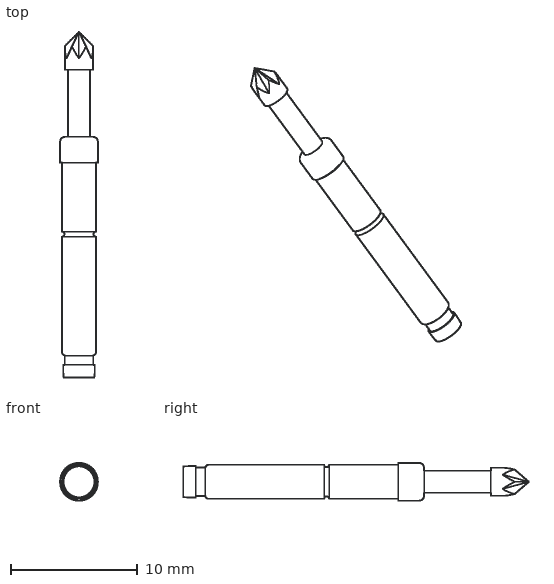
import cadquery as cq
import math

length = 27.3
tip_y = length / 2
tail_y = -length / 2

head_diameter = 2.25
stem_diameter = 1.75
collar_diameter = 3.0
body_diameter = 2.7
neck_diameter = 2.27
ring_diameter = 2.5
tail_face_diameter = 2.43

ridge_count = 6
ridge_cone_angle = 90.0
valley_length = 2.07

head_length = 3.0
stem_length = 5.27
collar_length = 2.05
collar_fillet = 0.4
front_body_length = 5.45
groove_radius = 0.2
rear_body_length = 9.4
body_fillet = 0.27
neck_length = 0.75
ring_band_length = 0.4

head_back = tip_y - head_length
collar_front = head_back - stem_length
collar_back = collar_front - collar_length
groove_front = collar_back - front_body_length
groove_center = groove_front - groove_radius
body_back = groove_center - groove_radius - rear_body_length
ring_front = body_back - neck_length
ring_band_back = ring_front - ring_band_length


def cylinder_along_y(diameter, back, front):
    return (
        cq.Workplane("XZ", origin=(0, front, 0))
        .circle(diameter / 2)
        .extrude(front - back)
    )


def star_pyramid():
    """Twelve flat facets from the tip to a star outline, deep enough to enclose the head."""
    ridge_radius = head_length * math.tan(math.radians(ridge_cone_angle / 2))
    valley_radius = head_length * (head_diameter / 2) / valley_length
    corners = []
    for i in range(2 * ridge_count):
        radius = ridge_radius if i % 2 == 0 else valley_radius
        angle = math.pi * i / ridge_count
        corners.append(cq.Vector(radius * math.cos(angle), head_back, radius * math.sin(angle)))
    tip = cq.Vector(0, tip_y, 0)

    faces = [cq.Face.makeFromWires(cq.Wire.makePolygon(corners, close=True))]
    for i, corner in enumerate(corners):
        next_corner = corners[(i + 1) % len(corners)]
        facet = cq.Wire.makePolygon([tip, corner, next_corner], close=True)
        faces.append(cq.Face.makeFromWires(facet))
    return cq.Workplane(cq.Solid.makeSolid(cq.Shell.makeShell(faces)))


def pointed_head():
    return cylinder_along_y(head_diameter, head_back, tip_y).intersect(star_pyramid())


def collar():
    blank = cylinder_along_y(collar_diameter, collar_back, collar_front)
    return blank.faces(">Y").edges().fillet(collar_fillet)


def body():
    """Cylinder rounded at its tail end, with a half-round ring groove between front and rear lengths."""
    blank = cylinder_along_y(body_diameter, body_back, collar_back)
    rounded = blank.faces("<Y").edges().fillet(body_fillet)
    groove = cq.Solid.makeTorus(
        body_diameter / 2, groove_radius, cq.Vector(0, groove_center, 0), cq.Vector(0, 1, 0)
    )
    return rounded.cut(cq.Workplane(groove))


def tail_ring():
    """A straight band that curves in smoothly to the tail face."""
    return (
        cq.Workplane("XY")
        .moveTo(0, ring_front)
        .lineTo(ring_diameter / 2, ring_front)
        .lineTo(ring_diameter / 2, ring_band_back)
        .tangentArcPoint((tail_face_diameter / 2, tail_y), relative=False)
        .lineTo(0, tail_y)
        .close()
        .revolve(360, (0, 0, 0), (0, 1, 0))
    )


stem = cylinder_along_y(stem_diameter, collar_front, head_back)
neck = cylinder_along_y(neck_diameter, ring_front, body_back)

result = pointed_head().union(stem).union(collar()).union(body()).union(neck).union(tail_ring())